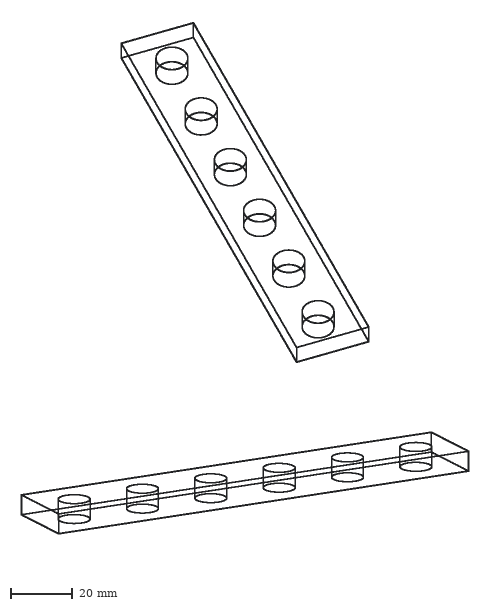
import cadquery as cq

hole_count = 6
hole_pitch = 25.4
hole_diameter = 10.41
thickness = 6.75

bar_length = hole_count * hole_pitch
bar_width = hole_pitch


def make_bar():
    """Plain rectangular bar centred on the origin."""
    return cq.Workplane("XY").box(bar_length, bar_width, thickness)


def drill_holes(bar):
    """Drill the row of holes along the bar's centre line."""
    return (
        bar.faces(">Z")
        .workplane()
        .rarray(hole_pitch, bar_width, hole_count, 1)
        .hole(hole_diameter)
    )


result = drill_holes(make_bar())